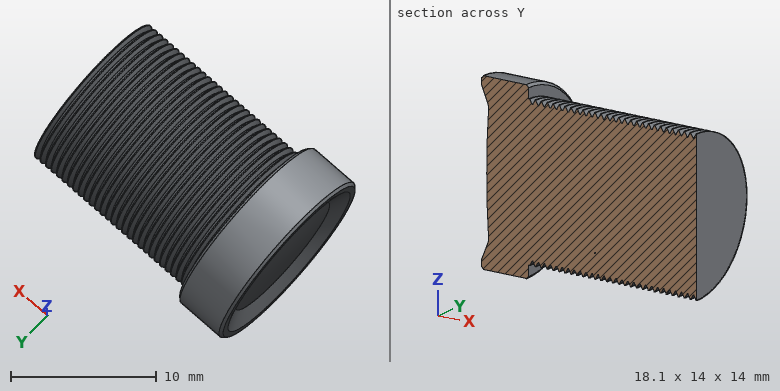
import cadquery as cq
import math

length = 18.08
head_radius = 7.0
head_length = 4.0
head_chamfer = 0.2

barrel_radius = 6.0
groove_count = 28
groove_angle = 60
crest_width = 0.08
barrel_length = length - head_length
groove_pitch = (barrel_length - crest_width) / groove_count
groove_width = groove_pitch - crest_width
groove_depth = groove_width / 2 / math.tan(math.radians(groove_angle / 2))

recess_mouth_radius = 6.3
lens_radius = 4.85
recess_depth = 0.6
lens_bulge = 0.16


def make_head():
    return (
        cq.Workplane("YZ")
        .circle(head_radius)
        .extrude(head_length)
        .edges()
        .chamfer(head_chamfer)
    )


def make_barrel():
    """Revolve the barrel outline about X, cutting one V groove per pitch."""
    outline = cq.Workplane("XY").moveTo(head_length, 0).lineTo(head_length, barrel_radius)
    for index in range(groove_count):
        groove_start = head_length + index * groove_pitch + crest_width
        outline = (
            outline.lineTo(groove_start, barrel_radius)
            .lineTo(groove_start + groove_width / 2, barrel_radius - groove_depth)
            .lineTo(groove_start + groove_width, barrel_radius)
        )
    outline = outline.lineTo(length, barrel_radius).lineTo(length, 0).close()
    return outline.revolve(360, (0, 0, 0), (1, 0, 0))


def make_recess():
    """Space between the front plane, the conical wall and the domed lens."""
    dome_radius = (lens_radius**2 + lens_bulge**2) / (2 * lens_bulge)
    lens_apex = recess_depth - lens_bulge
    half_angle = math.asin(lens_radius / dome_radius) / 2
    arc_middle = (
        lens_apex + dome_radius * (1 - math.cos(half_angle)),
        dome_radius * math.sin(half_angle),
    )
    return (
        cq.Workplane("XY")
        .moveTo(0, 0)
        .lineTo(0, recess_mouth_radius)
        .lineTo(recess_depth, lens_radius)
        .threePointArc(arc_middle, (lens_apex, 0))
        .close()
        .revolve(360, (0, 0, 0), (1, 0, 0))
    )


result = make_head().union(make_barrel()).cut(make_recess())